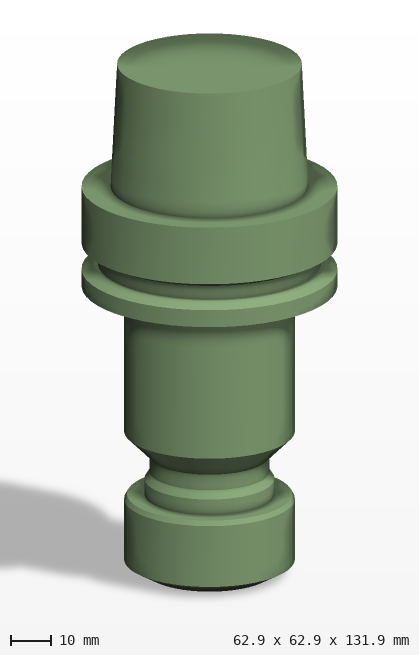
import cadquery as cq
import math

OVERALL_LENGTH = 131.85

TAPER_LENGTH = 31.85
TAPER_BASE_DIA = 48.65
TAPER_TOP_DIA = 45.45

FLANGE_DIA = 62.94
FLANGE_LENGTH = 25.85
GROOVE_DIA = 54.95
GROOVE_TOP_DEPTH = 14.7
GROOVE_WIDTH = 6.75
FLANK_HEIGHT = 1.45
FLANK_ANGLE = 26.0

BODY_DIA = 42.0
BODY_END_DEPTH = 63.65
NECK_DIA = 29.5
NECK_TOP_DEPTH = 69.95

COLLAR_DIA = 32.0
COLLAR_LENGTH = 6.0
COLLAR_TAPER_HEIGHT = 2.0

NUT_DIA = 42.0
NUT_LENGTH = 20.0
NUT_TOP_CHAMFER_HEIGHT = 1.2
NUT_TOP_CHAMFER_WIDTH = 0.7
NUT_NOSE_HEIGHT = 3.0
NUT_NOSE_ANGLE = 30.0

BOTTOM_Z = TAPER_LENGTH - OVERALL_LENGTH
NUT_TOP_Z = BOTTOM_Z + NUT_LENGTH
COLLAR_TOP_Z = NUT_TOP_Z + COLLAR_LENGTH


def run_for_rise(rise, angle):
    """Horizontal run of a slope with the given rise and angle from horizontal."""
    return rise / math.tan(math.radians(angle))


def taper_points():
    return [
        (0, TAPER_LENGTH),
        (TAPER_TOP_DIA / 2, TAPER_LENGTH),
        (TAPER_BASE_DIA / 2, 0),
    ]


def flange_points():
    radius = FLANGE_DIA / 2
    floor_radius = GROOVE_DIA / 2
    upper_rim_z = -GROOVE_TOP_DEPTH
    lower_rim_z = upper_rim_z - GROOVE_WIDTH
    floor_top_z = upper_rim_z - FLANK_HEIGHT
    floor_bottom_z = lower_rim_z + FLANK_HEIGHT
    flank_run = run_for_rise(FLANK_HEIGHT, FLANK_ANGLE)
    return [
        (radius, 0),
        (radius, upper_rim_z),
        (radius - flank_run, floor_top_z),
        (floor_radius, floor_top_z),
        (floor_radius, floor_bottom_z),
        (radius - flank_run, floor_bottom_z),
        (radius, lower_rim_z),
        (radius, -FLANGE_LENGTH),
    ]


def body_points():
    return [
        (BODY_DIA / 2, -FLANGE_LENGTH),
        (BODY_DIA / 2, -BODY_END_DEPTH),
        (NECK_DIA / 2, -NECK_TOP_DEPTH),
        (NECK_DIA / 2, COLLAR_TOP_Z),
    ]


def collar_points():
    return [
        (COLLAR_DIA / 2, COLLAR_TOP_Z - COLLAR_TAPER_HEIGHT),
        (COLLAR_DIA / 2, NUT_TOP_Z),
    ]


def nut_points():
    radius = NUT_DIA / 2
    nose_run = run_for_rise(NUT_NOSE_HEIGHT, NUT_NOSE_ANGLE)
    return [
        (radius - NUT_TOP_CHAMFER_WIDTH, NUT_TOP_Z),
        (radius, NUT_TOP_Z - NUT_TOP_CHAMFER_HEIGHT),
        (radius, BOTTOM_Z + NUT_NOSE_HEIGHT),
        (radius - nose_run, BOTTOM_Z),
        (0, BOTTOM_Z),
    ]


half_profile = taper_points() + flange_points() + body_points() + collar_points() + nut_points()

result = cq.Workplane("XZ").polyline(half_profile).close().revolve(360, (0, 0, 0), (0, 1, 0))